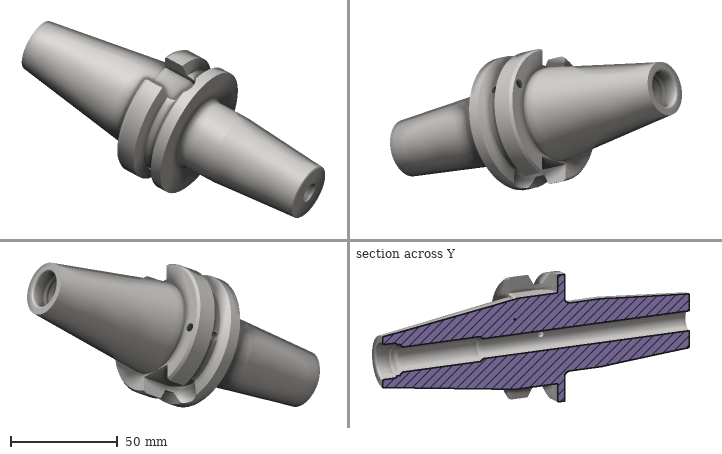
import cadquery as cq
import math

LENGTH = 155.4

SHANK_LENGTH = 65.5
GAUGE_RADIUS = 22.2
SHANK_END_RADIUS = GAUGE_RADIUS - SHANK_LENGTH * 7 / 48

FLANGE_RADIUS = 31.47
FLANGE_BACK = 67.1
FLANGE_FRONT = 92.5
FLANGE_CHAMFER_LENGTH = 1.4
FLANGE_CHAMFER_HEIGHT = 1.0
GROOVE_CENTER = 82.0
GROOVE_FLOOR_WIDTH = 4.2
GROOVE_FLOOR_RADIUS = 26.5
GROOVE_FLANK_ANGLE = 30.0

NOSE_RADIUS = 17.0
NOSE_CONE_LENGTH = 44.5
NOSE_CONE_ANGLE = 4.5
NOSE_EDGE_CHAMFER = 0.5
NOSE_ROOT_RADIUS = 3.0
NOSE_ROOT_HEIGHT = 1.5

SLOT_HALF_WIDTHS = {1: 8.1, -1: 8.7}
SLOT_FLOOR_HEIGHTS = {1: 22.7, -1: 22.4}
SLOT_END = 88.7
SLOT_EDGE_LENGTH = 1.0

MOUTH_RADIUS = 9.6
PILOT_RADIUS = 8.5
PILOT_DEPTH = 6.5
STEP_RADIUS = 7.6
STEP_DEPTH = 8.7
SCREW_BORE_RADIUS = 6.0
SCREW_BORE_DEPTH = 49.7
PASSAGE_RADIUS = 4.8

COOLANT_ANGLES = (20.0, 200.0)
RADIAL_HOLE_RADIUS = 1.5
COUNTERBORE_RADIUS = 2.0
COUNTERBORE_DEPTH = 2.5
FEED_HOLE_RADIUS = 2.0
FEED_PITCH_RADIUS = 26.9
FEED_SLANT = 35.0


def make_body():
    half_floor = GROOVE_FLOOR_WIDTH / 2
    flank_width = (FLANGE_RADIUS - GROOVE_FLOOR_RADIUS) * math.tan(math.radians(GROOVE_FLANK_ANGLE))
    cone_start = LENGTH - NOSE_CONE_LENGTH
    nose_end_radius = NOSE_RADIUS - NOSE_CONE_LENGTH * math.tan(math.radians(NOSE_CONE_ANGLE))

    sweep = math.acos(1 - NOSE_ROOT_HEIGHT / NOSE_ROOT_RADIUS)
    root_end = FLANGE_FRONT + NOSE_ROOT_RADIUS * math.sin(sweep)
    root_middle = (
        root_end - NOSE_ROOT_RADIUS * math.sin(sweep / 2),
        NOSE_RADIUS + NOSE_ROOT_RADIUS * (1 - math.cos(sweep / 2)),
    )

    profile = (
        cq.Workplane("XY")
        .lineTo(0, SHANK_END_RADIUS)
        .lineTo(SHANK_LENGTH, GAUGE_RADIUS)
        .lineTo(FLANGE_BACK, GAUGE_RADIUS)
        .lineTo(FLANGE_BACK, FLANGE_RADIUS - FLANGE_CHAMFER_HEIGHT)
        .lineTo(FLANGE_BACK + FLANGE_CHAMFER_LENGTH, FLANGE_RADIUS)
        .lineTo(GROOVE_CENTER - half_floor - flank_width, FLANGE_RADIUS)
        .lineTo(GROOVE_CENTER - half_floor, GROOVE_FLOOR_RADIUS)
        .lineTo(GROOVE_CENTER + half_floor, GROOVE_FLOOR_RADIUS)
        .lineTo(GROOVE_CENTER + half_floor + flank_width, FLANGE_RADIUS)
        .lineTo(FLANGE_FRONT, FLANGE_RADIUS)
        .lineTo(FLANGE_FRONT, NOSE_RADIUS + NOSE_ROOT_HEIGHT)
        .threePointArc(root_middle, (root_end, NOSE_RADIUS))
        .lineTo(cone_start, NOSE_RADIUS)
        .lineTo(LENGTH, nose_end_radius)
        .lineTo(LENGTH, 0)
        .close()
    )
    body = profile.revolve(360, (0, 0, 0), (1, 0, 0))
    return body.faces(">X").edges().chamfer(NOSE_EDGE_CHAMFER)


def make_bore():
    mouth_round = MOUTH_RADIUS - PILOT_RADIUS
    mouth_middle_offset = mouth_round * (1 - math.sqrt(0.5))
    step_start = PILOT_DEPTH + PILOT_RADIUS - STEP_RADIUS
    screw_bore_start = STEP_DEPTH + STEP_RADIUS - SCREW_BORE_RADIUS
    passage_start = SCREW_BORE_DEPTH + SCREW_BORE_RADIUS - PASSAGE_RADIUS
    return (
        cq.Workplane("XY")
        .lineTo(0, MOUTH_RADIUS)
        .threePointArc(
            (mouth_middle_offset, PILOT_RADIUS + mouth_middle_offset),
            (mouth_round, PILOT_RADIUS),
        )
        .lineTo(PILOT_DEPTH, PILOT_RADIUS)
        .lineTo(step_start, STEP_RADIUS)
        .lineTo(STEP_DEPTH, STEP_RADIUS)
        .lineTo(screw_bore_start, SCREW_BORE_RADIUS)
        .lineTo(SCREW_BORE_DEPTH, SCREW_BORE_RADIUS)
        .lineTo(passage_start, PASSAGE_RADIUS)
        .lineTo(LENGTH, PASSAGE_RADIUS)
        .lineTo(LENGTH, 0)
        .close()
        .revolve(360, (0, 0, 0), (1, 0, 0))
    )


def make_drive_slot(side):
    """Round-ended slot on the +Z side (side = 1) or the -Z side (side = -1)."""
    half_width = SLOT_HALF_WIDTHS[side]
    floor_height = SLOT_FLOOR_HEIGHTS[side]
    arc_start = SLOT_END - half_width
    pocket = (
        cq.Workplane("XY", origin=(0, 0, side * floor_height))
        .moveTo(FLANGE_BACK, -half_width)
        .lineTo(arc_start, -half_width)
        .threePointArc((SLOT_END, 0), (arc_start, half_width))
        .lineTo(FLANGE_BACK, half_width)
        .close()
        .extrude(side * FLANGE_RADIUS)
    )
    bevel = (
        cq.Workplane("XZ")
        .moveTo(FLANGE_BACK, side * GAUGE_RADIUS)
        .lineTo(FLANGE_BACK + SLOT_EDGE_LENGTH, side * floor_height)
        .lineTo(FLANGE_BACK, side * floor_height)
        .close()
        .extrude(half_width, both=True)
    )
    return pocket.union(bevel)


def make_coolant_holes(angle):
    outward = cq.Vector(0, math.cos(math.radians(angle)), math.sin(math.radians(angle)))
    forward = cq.Vector(1, 0, 0)
    groove_center = forward * GROOVE_CENTER

    radial_hole = cq.Solid.makeCylinder(RADIAL_HOLE_RADIUS, GROOVE_FLOOR_RADIUS, groove_center, outward)
    counterbore = cq.Solid.makeCylinder(
        COUNTERBORE_RADIUS,
        FLANGE_RADIUS - GROOVE_FLOOR_RADIUS + COUNTERBORE_DEPTH,
        groove_center + outward * (GROOVE_FLOOR_RADIUS - COUNTERBORE_DEPTH),
        outward,
    )

    slope = math.tan(math.radians(FEED_SLANT))
    lead = FEED_HOLE_RADIUS * slope
    feed_start = forward * (FLANGE_BACK - lead) + outward * (FEED_PITCH_RADIUS + lead * slope)
    feed_length = (GROOVE_CENTER - FLANGE_BACK + lead) / math.cos(math.radians(FEED_SLANT))
    feed_hole = cq.Solid.makeCylinder(
        FEED_HOLE_RADIUS, feed_length, feed_start, forward - outward * slope
    )
    return cq.Workplane(radial_hole.fuse(counterbore, feed_hole))


result = make_body().cut(make_bore())
for slot_side in (1, -1):
    result = result.cut(make_drive_slot(slot_side))
for hole_angle in COOLANT_ANGLES:
    result = result.cut(make_coolant_holes(hole_angle))